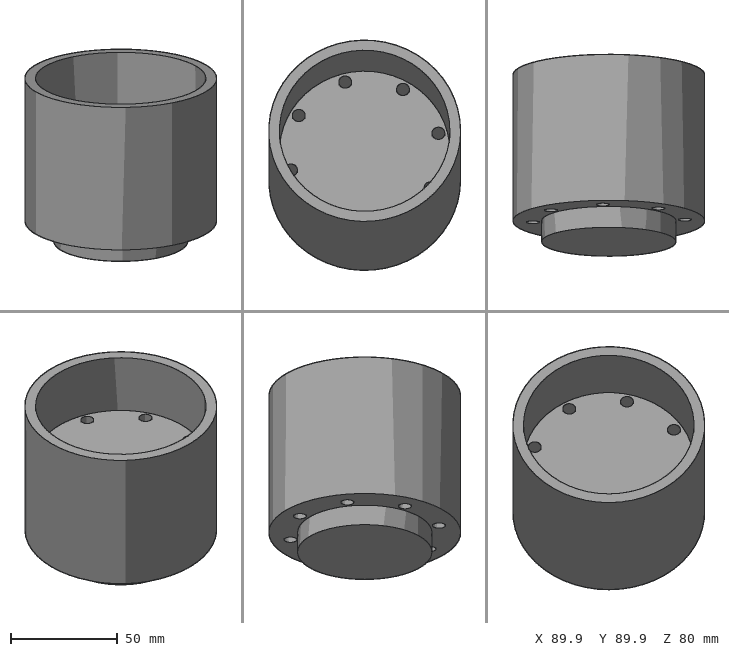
import cadquery as cq

body_diameter = 89.9
total_height = 80.0

spigot_diameter = 62.9
spigot_height = 10.0

pocket_diameter = 79.85
pocket_depth = 29.9

hole_count = 8
hole_diameter = 6.0
hole_circle_diameter = 71.4

body = cq.Workplane("XY").workplane(offset=spigot_height).circle(body_diameter / 2).extrude(
    total_height - spigot_height
)
spigot = cq.Workplane("XY").circle(spigot_diameter / 2).extrude(spigot_height)

pocket = (
    cq.Workplane("XY")
    .workplane(offset=total_height - pocket_depth)
    .circle(pocket_diameter / 2)
    .extrude(pocket_depth)
)

holes = (
    cq.Workplane("XY")
    .polarArray(hole_circle_diameter / 2, 0, 360, hole_count)
    .circle(hole_diameter / 2)
    .extrude(total_height)
)

result = body.union(spigot).cut(pocket).cut(holes)